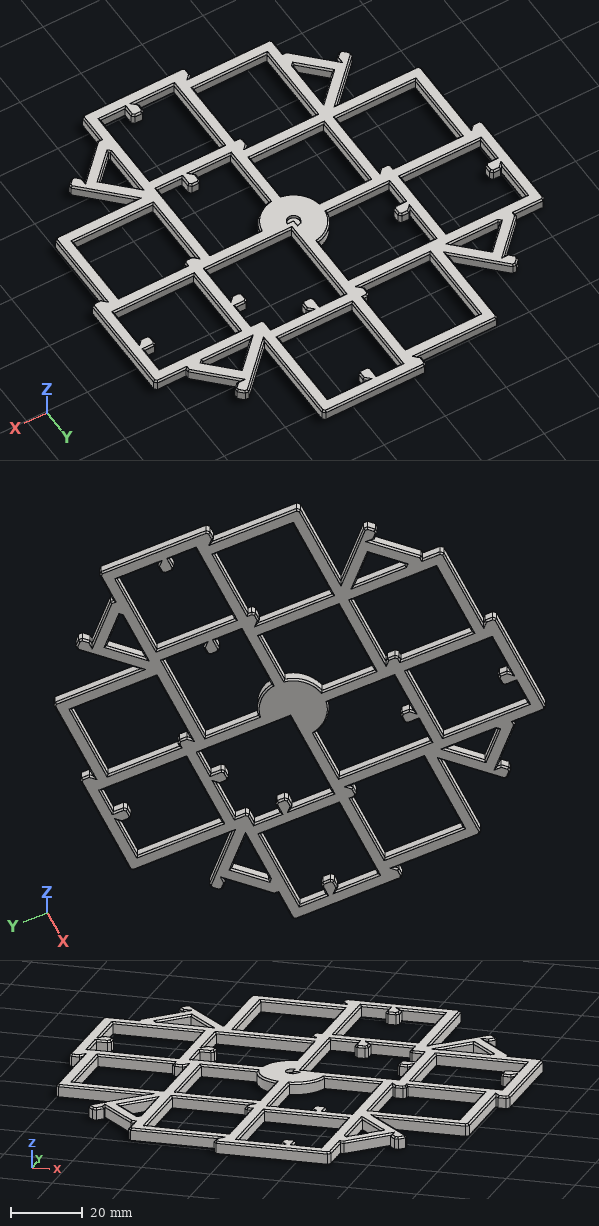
import cadquery as cq
import math

overall = 128.0
bar = overall / 32
edge_bevel = 0.5
corner_cut = 0.83
hub_radius = 2.5 * bar
socket_depth = 1.0
strut_reach = 4.25 * bar

rim = overall / 2
half_bar = bar / 2
outer = rim - bar
cell = outer / 2
cell_middle = (cell - half_bar) / 2
stub = bar


def bar_between(x_start, x_end, y_start, y_end):
    """Full-height bar with cut upright corners."""
    return (
        cq.Workplane("XY")
        .box(x_end - x_start, y_end - y_start, bar)
        .edges("|Z")
        .chamfer(corner_cut)
        .translate(((x_start + x_end) / 2, (y_start + y_end) / 2, 0))
    )


def horizontal_bar(x_start, x_end, y_low):
    return bar_between(x_start, x_end, y_low, y_low + bar)


def vertical_bar(x_low, y_start, y_end):
    return bar_between(x_low, x_low + bar, y_start, y_end)


def notch(x, y, x_side, y_side):
    """Small triangular prism that frees one root corner of a peg or knob."""
    return (
        cq.Workplane("XY")
        .polyline([(x, y), (x + x_side * corner_cut, y), (x, y + y_side * corner_cut)])
        .close()
        .extrude(half_bar, both=True)
    )


def drop_open_quarter(disc):
    """Remove the quarter of a disc where both X and Y are positive."""
    return disc.cut(cq.Workplane("XY").box(rim, rim, overall, centered=(False, False, True)))


def hub():
    """Bevelled disc that stiffens the central crossing everywhere but in the open cell."""
    disc = cq.Workplane("XY").circle(hub_radius).extrude(half_bar, both=True)
    return drop_open_quarter(disc.edges("%CIRCLE").edges("<Z or >Z").chamfer(edge_bevel))


def hub_socket():
    """Cutter for the shallow three-quarter round pocket in the top of the hub."""
    return drop_open_quarter(
        cq.Workplane("XY", origin=(0, 0, half_bar)).circle(half_bar).extrude(-socket_depth)
    )


def turn_about_hub(shape, angle):
    return shape.rotate((0, 0, 0), (0, 0, 1), angle)


def peg(angle, root, side):
    """Peg one bar long and wide, with the cutter for its root notch.

    It is laid out pointing along -X from a face at x = root, then turned about
    the hub by angle. Its notched side lies on y = side * cell_middle.
    """
    notch_y = side * cell_middle
    body = bar_between(root - bar, root + half_bar, notch_y, notch_y + bar)
    cutter = notch(root, notch_y, -1, 1)
    return turn_about_hub(body, angle), turn_about_hub(cutter, angle)


def corner_arm(angle, side):
    """Diagonal arm with a side strut, and the cutter for the notch under its knob.

    It is laid out along +X with the strut running to the given side in Y, then
    turned about the hub by angle. The arm tip past the strut forms the knob.
    """
    arm_start = (cell - half_bar) * math.sqrt(2)
    strut_root = side * strut_reach
    foot_start = side * (strut_reach - bar)
    arm = bar_between(arm_start, rim, -half_bar, half_bar)
    strut = bar_between(outer - bar, outer, *sorted([0, strut_root]))
    foot = bar_between(outer - bar - half_bar, outer, *sorted([foot_start, strut_root]))
    body = arm.union(strut).union(foot)
    cutter = notch(outer, side * half_bar, 1, -side)
    return turn_about_hub(body, angle), turn_about_hub(cutter, angle)


horizontal_bars = [
    (-stub, cell, outer),
    (-cell, 0, outer - bar),
    (-stub, cell, cell),
    (-rim, 0, cell - bar),
    (cell - bar, rim, cell - bar),
    (-rim, rim, -half_bar),
    (-outer, 0, -cell),
    (cell - bar, outer, -cell),
    (-stub, cell, -cell - bar),
    (-cell, 0, -outer),
    (-stub, cell, -rim),
]

vertical_bars = [
    (-rim, -stub, cell),
    (-outer, -cell, 0),
    (-cell - bar, -stub, cell),
    (-cell, cell - bar, outer),
    (-cell, -outer, 0),
    (-half_bar, -rim, rim),
    (cell - bar, cell - bar, rim),
    (cell - bar, -rim, 0),
    (cell, -stub, cell),
    (outer - bar, -cell, 0),
    (outer, -stub, cell),
]

frame = horizontal_bar(*horizontal_bars[0])
for layout in horizontal_bars[1:]:
    frame = frame.union(horizontal_bar(*layout))
for layout in vertical_bars:
    frame = frame.union(vertical_bar(*layout))

for angle, side in [(0, 1), (90, -1), (180, -1), (270, 1)]:
    for root in (cell, outer):
        body, cutter = peg(angle, root, side)
        frame = frame.union(body).cut(cutter)

for angle, side in [(45, -1), (135, 1), (225, 1), (315, -1)]:
    body, cutter = corner_arm(angle, side)
    frame = frame.union(body).cut(cutter)

bevelled_frame = frame.clean().faces("<Z or >Z").chamfer(edge_bevel)
result = bevelled_frame.union(hub()).cut(hub_socket())